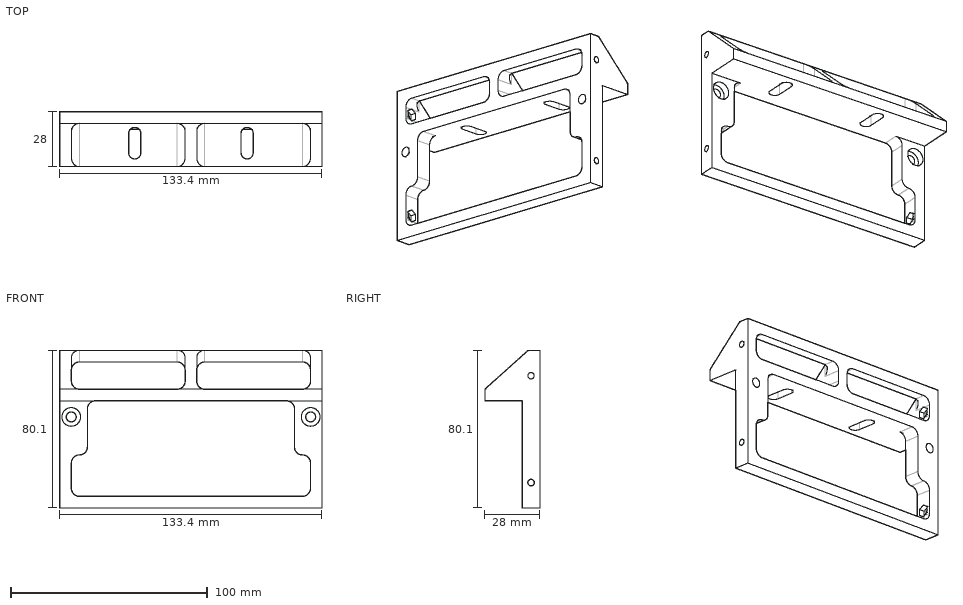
import cadquery as cq
import math

length = 133.4
depth = 28.0
height = 80.1

wall = 6.0
plate_thickness = 9.1
shelf_thickness = 6.0
shelf_underside = 54.4
shelf_top = shelf_underside + shelf_thickness
corner_radius = 4.0

shoulder_width = 8.1
step_height = 27.0

mount_diameter = 5.0
counterbore_diameter = 9.5
counterbore_depth = 4.0
mount_x = length / 2 - 5.9
mount_z = 46.3

side_hole_diameter = 3.2
nut_across_flats = 5.6
nut_pocket_depth = 3.2
side_hole_inset = 13.0

slot_width = 6.0
slot_length = 16.0
slot_x = 28.5
slot_front_gap = 4.0

bay_length = (length - 3 * wall) / 2
bay_x = (bay_length + wall) / 2
bay_height = height - wall - shelf_top
bay_middle_z = shelf_top + bay_height / 2


def make_body():
    """L-shaped side profile with a sloping top, swept along the length."""
    outline = [
        (0, 0),
        (0, height),
        (-wall, height),
        (-depth, shelf_top),
        (-depth, shelf_underside),
        (-plate_thickness, shelf_underside),
        (-plate_thickness, 0),
    ]
    return cq.Workplane("YZ").polyline(outline).close().extrude(length / 2, both=True)


def make_lower_window():
    """Stepped window through the plate with every corner rounded."""
    wide = length / 2 - wall
    narrow = wide - shoulder_width
    outline = [
        (-wide, wall),
        (wide, wall),
        (wide, step_height),
        (narrow, step_height),
        (narrow, shelf_underside),
        (-narrow, shelf_underside),
        (-narrow, step_height),
        (-wide, step_height),
    ]
    window = cq.Workplane("XZ").polyline(outline).close().extrude(plate_thickness)
    return window.edges("|Y").fillet(corner_radius)


def make_bay(x):
    """Upper window below the top rail, opened upward in front of that rail."""
    window = (
        cq.Workplane("XZ")
        .center(x, bay_middle_z)
        .rect(bay_length, bay_height)
        .extrude(depth)
        .edges("|Y")
        .fillet(corner_radius)
    )
    opening = (
        cq.Workplane("XY", origin=(x, -wall - depth, bay_middle_z))
        .rect(bay_length, 2 * depth)
        .extrude(height - bay_middle_z)
        .edges("|Z and >Y")
        .fillet(corner_radius)
    )
    return window.union(opening)


def make_slot(x):
    """Round-ended slot through the shelf, running front to back."""
    middle_y = -depth + slot_front_gap + slot_length / 2
    return (
        cq.Workplane("XY", origin=(x, middle_y, shelf_underside))
        .slot2D(slot_length, slot_width, 90)
        .extrude(shelf_thickness)
    )


def make_mount_hole(x):
    """Through hole in the plate with a counterbore in its front face."""
    hole = cq.Workplane("XZ").center(x, mount_z).circle(mount_diameter / 2).extrude(plate_thickness)
    counterbore = (
        cq.Workplane("XZ", origin=(0, counterbore_depth - plate_thickness, 0))
        .center(x, mount_z)
        .circle(counterbore_diameter / 2)
        .extrude(counterbore_depth)
    )
    return hole.union(counterbore)


def make_side_hole(side, z):
    """Hole through one end wall at the middle of the plate, with its nut pocket on the inside."""
    axis_y = -plate_thickness / 2
    hole = (
        cq.Workplane("YZ", origin=(side * length / 2, axis_y, z))
        .circle(side_hole_diameter / 2)
        .extrude(-side * wall)
    )
    pocket_floor_x = side * (length / 2 - wall + nut_pocket_depth)
    nut_across_corners = nut_across_flats / math.cos(math.pi / 6)
    pocket = (
        cq.Workplane("YZ", origin=(pocket_floor_x, axis_y, z))
        .transformed(rotate=(0, 0, 90))
        .polygon(6, nut_across_corners)
        .extrude(-side * (nut_pocket_depth + corner_radius))
    )
    return hole.union(pocket)


result = make_body().cut(make_lower_window())
for side in (-1, 1):
    result = result.cut(make_bay(side * bay_x))
    result = result.cut(make_slot(side * slot_x))
    result = result.cut(make_mount_hole(side * mount_x))
    for z in (side_hole_inset, height - side_hole_inset):
        result = result.cut(make_side_hole(side, z))